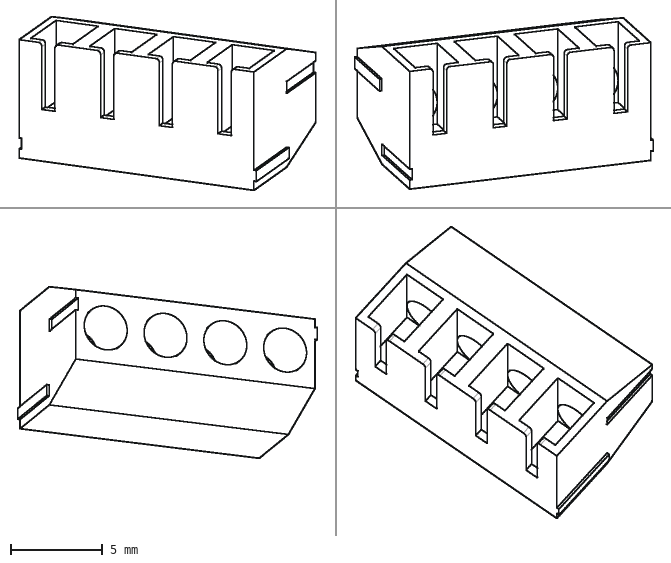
import cadquery as cq

overall_length = 14.3
key_depth = 0.15
body_length = overall_length - 2 * key_depth
body_depth = 8.4
body_height = 6.8
front_depth = 4.42
taper_drop = 1.4
rear_depth = body_depth - front_depth

terminal_count = 4
pitch = 3.5
pocket_width = 2.52
pocket_depth = 3.4
front_wall = 0.49
entry_radius = pocket_width / 2
entry_height = body_height / 2
pocket_floor = entry_height - entry_radius
slot_width = 0.79
slot_floor = body_height - 3.83
slot_rounding = 0.2

rear_key_height = 0.69
rear_key_bottom = body_height - 1.87 - rear_key_height
front_key_height = 0.63
front_key_bottom = 0.53


def block(x, y, z, length, depth, height):
    """Box with its lowest corner at (x, y, z)."""
    return cq.Workplane("XY").box(length, depth, height, centered=False).translate((x, y, z))


def make_body():
    """Side profile with a tapered back, extruded along the row."""
    profile = [
        (0, 0),
        (front_depth, 0),
        (body_depth, taper_drop),
        (body_depth, body_height - taper_drop),
        (front_depth, body_height),
        (0, body_height),
    ]
    return cq.Workplane("YZ").polyline(profile).close().extrude(body_length)


def front_key(x):
    """Low bar beside the front part."""
    return block(x, 0, front_key_bottom, key_depth, front_depth, front_key_height)


def rear_key(x):
    """High bar beside the tapered back."""
    return block(x, front_depth, rear_key_bottom, key_depth, rear_depth, rear_key_height)


def make_slot(center_x):
    """Front slot whose mouth flares out in quarter rounds at the top face."""
    half_width = slot_width / 2
    shoulder = body_height - slot_rounding
    outer_left = center_x - half_width - slot_rounding
    outer_right = center_x + half_width + slot_rounding
    return (
        cq.Workplane("XZ")
        .moveTo(center_x - half_width, slot_floor)
        .lineTo(center_x + half_width, slot_floor)
        .lineTo(center_x + half_width, shoulder)
        .radiusArc((outer_right, body_height), slot_rounding)
        .lineTo(outer_left, body_height)
        .radiusArc((center_x - half_width, shoulder), slot_rounding)
        .close()
        .extrude(-front_wall)
    )


def make_terminal(center_x):
    """Space for one terminal: top pocket, front slot and round wire entry from the back."""
    pocket = block(
        center_x - pocket_width / 2, front_wall, pocket_floor,
        pocket_width, pocket_depth, body_height - pocket_floor,
    )
    entry_start = front_wall + pocket_depth / 2
    entry = (
        cq.Workplane("XZ", origin=(center_x, entry_start, entry_height))
        .circle(entry_radius)
        .extrude(entry_start - body_depth)
    )
    return pocket.union(entry).union(make_slot(center_x))


result = make_body()

result = result.union(rear_key(-key_depth)).union(front_key(body_length))
result = result.cut(front_key(0)).cut(rear_key(body_length - key_depth))

first_center = (body_length - (terminal_count - 1) * pitch) / 2
for index in range(terminal_count):
    result = result.cut(make_terminal(first_center + index * pitch))